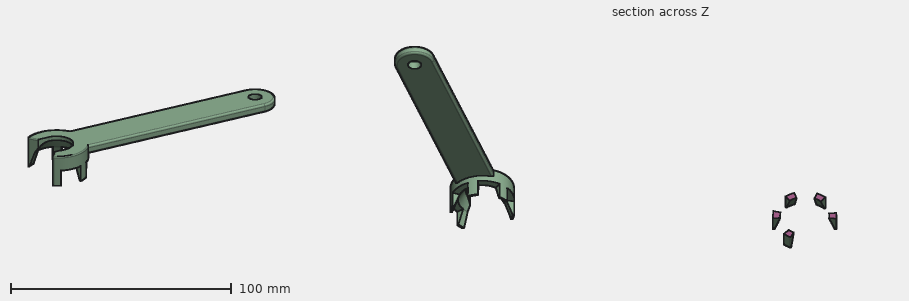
import cadquery as cq
import math

total_height = 14.5
total_length = 119.8

head_radius = 14.5
head_depth = 7.0
head_top_fillet = 0.5

jaw_width = 15.0
end_face_angle = 36.0
tip_fillet = 0.5

lip_thickness = 2.0
cavity_radius_at_head_bottom = 11.0
cavity_radius_at_tooth_tip = 13.7

tooth_half_angle = 9.25
tooth_angles = (-30.0, 30.0, 90.0, 150.0, 210.0)

handle_width = 18.0
handle_thickness = 4.15
handle_fillet = 1.0
hanging_hole_diameter = 6.0

head_bottom = total_height - head_depth
handle_bottom = total_height - handle_thickness

tip_x = head_radius * math.cos(math.radians(end_face_angle))
tip_y = -head_radius * math.sin(math.radians(end_face_angle))


def make_head_blank():
    """Full-height sector of a cylinder with filleted tips and a filleted top edge."""
    blank = (
        cq.Workplane("XY")
        .moveTo(-tip_x, tip_y)
        .threePointArc((0, head_radius), (tip_x, tip_y))
        .lineTo(0, 0)
        .close()
        .extrude(total_height)
    )
    blank = blank.edges("|Z and <Y").fillet(tip_fillet)
    return blank.faces(">Z").edges().fillet(head_top_fillet)


def make_tooth_sector(angle):
    """Wedge from the axis out past the head, as high as a tooth."""
    reach = 2 * head_radius
    half_width = reach * math.tan(math.radians(tooth_half_angle))
    return (
        cq.Workplane("XY")
        .lineTo(reach, -half_width)
        .lineTo(reach, half_width)
        .close()
        .extrude(head_bottom)
        .rotate((0, 0, 0), (0, 0, 1), angle)
    )


def make_head():
    """Ring sector with the teeth hanging from it, before the jaw is opened."""
    kept_zone = (
        cq.Workplane("XY", origin=(0, 0, head_bottom))
        .circle(2 * head_radius)
        .extrude(head_depth)
    )
    for angle in tooth_angles:
        kept_zone = kept_zone.union(make_tooth_sector(angle))
    return make_head_blank().intersect(kept_zone)


def make_handle(end_y):
    """Flat bar from the head centre to a round end at end_y, with a hanging hole."""
    half_width = handle_width / 2
    end_center_y = end_y - half_width
    bar = (
        cq.Workplane("XY", origin=(0, 0, handle_bottom))
        .moveTo(-half_width, 0)
        .lineTo(-half_width, end_center_y)
        .threePointArc((0, end_y), (half_width, end_center_y))
        .lineTo(half_width, 0)
        .close()
        .extrude(handle_thickness)
        .edges("(>Z or <Z) and (not <Y)")
        .fillet(handle_fillet)
    )
    hanging_hole = (
        cq.Workplane("XY")
        .center(0, end_center_y)
        .circle(hanging_hole_diameter / 2)
        .extrude(total_height)
    )
    return bar.cut(hanging_hole)


def make_jaw_opening():
    """U-shaped slot, open toward -Y."""
    round_end = cq.Workplane("XY").circle(jaw_width / 2).extrude(total_height)
    slot = (
        cq.Workplane("XY")
        .rect(jaw_width, 2 * head_radius)
        .extrude(total_height)
        .translate((0, -head_radius, 0))
    )
    return round_end.union(slot)


def make_cavity():
    """Two stacked cones that widen downward from the underside of the lip."""
    cavity_top = total_height - lip_thickness
    return (
        cq.Workplane("XZ")
        .lineTo(cavity_radius_at_tooth_tip, 0)
        .lineTo(cavity_radius_at_head_bottom, head_bottom)
        .lineTo(jaw_width / 2, cavity_top)
        .lineTo(0, cavity_top)
        .close()
        .revolve(360, (0, 0), (0, 1))
    )


head = make_head()
handle_end_y = head.val().BoundingBox().ymin + total_length
wrench = head.union(make_handle(handle_end_y))
result = wrench.cut(make_jaw_opening()).cut(make_cavity())